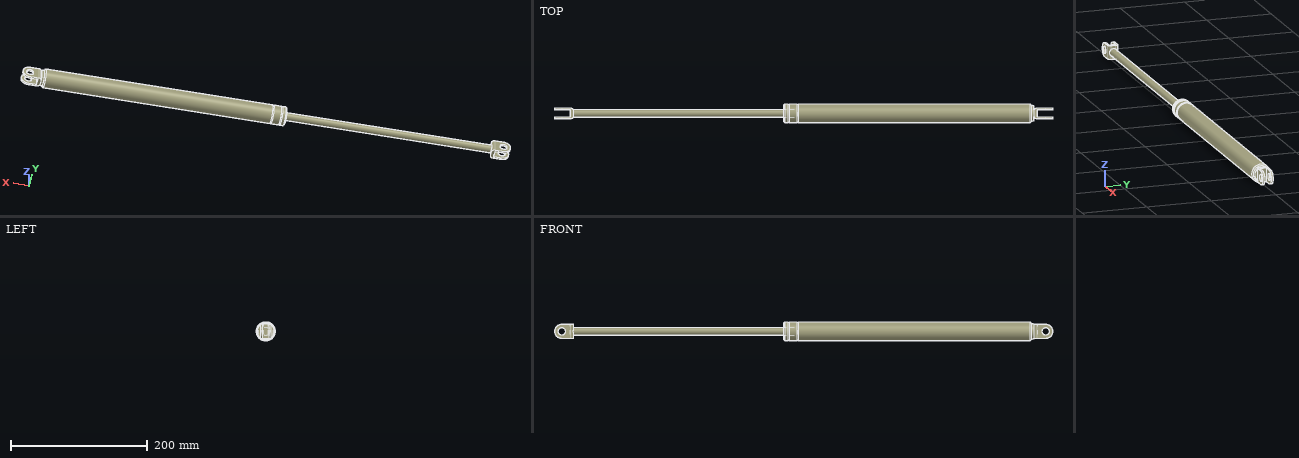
import cadquery as cq

overall_length = 730.96
half_length = overall_length / 2

fork_length = 28.0
fork_height = 21.0
fork_width = 16.0
arm_thickness = 3.0
fork_base_thickness = 5.2
fork_corner_radius = 4.5
eye_radius = fork_height / 2
eye_hole_diameter = 10.5

rod_radius = 6.0
rod_embedment = 2.0

tube_radius = 14.1
tube_front_x = -29.5
tube_rear_x = 334.0
front_chamfer = 1.8
rear_chamfer = 2.0
groove_radius = 1.0
groove_positions = [-22.0, -8.8]
cap_front_radius = tube_radius - rear_chamfer
cap_rear_radius = 11.0

rod_fork_base_x = -half_length + fork_length
tube_fork_base_x = half_length - fork_length
rod_end_x = groove_positions[-1]


def cylinder_along_x(start_x, end_x, radius):
    return cq.Workplane("YZ").workplane(offset=start_x).circle(radius).extrude(end_x - start_x)


def make_fork():
    """Fork with its base face at X = 0 and its arms pointing along +X."""
    eye_x = fork_length - eye_radius
    body = (
        cq.Workplane("XZ")
        .moveTo(0, -eye_radius)
        .lineTo(eye_x, -eye_radius)
        .threePointArc((fork_length, 0), (eye_x, eye_radius))
        .lineTo(0, eye_radius)
        .close()
        .extrude(fork_width / 2, both=True)
    )
    body = body.edges("|Z and <X").fillet(fork_corner_radius)
    gap = (
        cq.Workplane("XY")
        .box(fork_length, fork_width - 2 * arm_thickness, fork_height, centered=(False, True, True))
        .translate((fork_base_thickness, 0, 0))
    )
    eye_hole = (
        cq.Workplane("XZ")
        .center(eye_x, 0)
        .circle(eye_hole_diameter / 2)
        .extrude(fork_width / 2, both=True)
    )
    return body.cut(gap).cut(eye_hole)


def make_groove_cutter(groove_x):
    """Ring of round section, centred on the tube surface."""
    return (
        cq.Workplane("XY")
        .center(groove_x, tube_radius)
        .circle(groove_radius)
        .revolve(360, (0, -tube_radius, 0), (1, -tube_radius, 0))
    )


def make_cap():
    """Tapered end of the tube, between its rear face and the fork."""
    return (
        cq.Workplane("XY")
        .moveTo(tube_rear_x, 0)
        .lineTo(tube_rear_x, cap_front_radius)
        .lineTo(tube_fork_base_x, cap_rear_radius)
        .lineTo(tube_fork_base_x, 0)
        .close()
        .revolve(360, (0, 0, 0), (1, 0, 0))
    )


def make_rod():
    """Piston rod with the fork at its -X end."""
    fork = make_fork().rotate((0, 0, 0), (0, 0, 1), 180).translate((rod_fork_base_x, 0, 0))
    shaft = cylinder_along_x(rod_fork_base_x - rod_embedment, rod_end_x, rod_radius)
    return shaft.union(fork)


def make_tube():
    """Tube with a bore for the rod and the fork at its +X end."""
    tube = cylinder_along_x(tube_front_x, tube_rear_x, tube_radius)
    tube = tube.faces("<X").edges().chamfer(front_chamfer)
    tube = tube.faces(">X").edges().chamfer(rear_chamfer)
    for groove_x in groove_positions:
        tube = tube.cut(make_groove_cutter(groove_x))
    fork = make_fork().translate((tube_fork_base_x, 0, 0))
    bore = cylinder_along_x(tube_front_x, rod_end_x, rod_radius)
    return tube.union(make_cap()).union(fork).cut(bore)


rod = make_rod()
tube = make_tube()
result = cq.Compound.makeCompound([rod.val(), tube.val()])